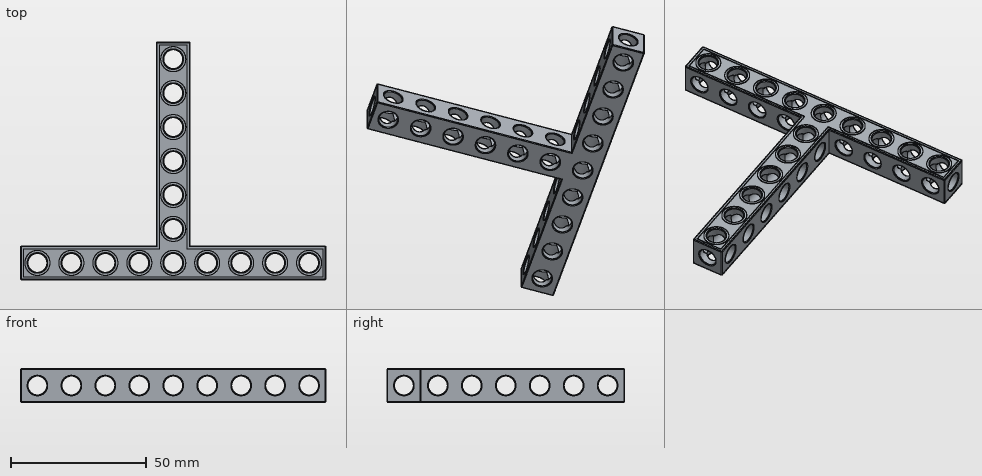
import cadquery as cq

beam_length = 112.5
holes_along_beam = 9
holes_along_stem = 6
hole_diameter = 7.0
ring_diameter = 9.2
rim_width = 1.1
recess_depth = 0.2
edge_chamfer = 0.3

pitch = beam_length / holes_along_beam
half_pitch = pitch / 2
stem_length = holes_along_stem * pitch
total_depth = pitch + stem_length

middle_column = holes_along_beam // 2
beam_columns = [half_pitch + column * pitch for column in range(holes_along_beam)]
stem_rows = [pitch + half_pitch + row * pitch for row in range(holes_along_stem)]
stem_x = beam_columns[middle_column]
upright_centers = [(x, half_pitch) for x in beam_columns] + [(stem_x, y) for y in stem_rows]


def tee_prism(inset, bottom_z, height):
    """T-shaped prism with its outline moved inwards by inset."""
    stem_left = stem_x - half_pitch + inset
    stem_right = stem_x + half_pitch - inset
    beam_back = pitch - inset
    outline = [
        (inset, inset),
        (beam_length - inset, inset),
        (beam_length - inset, beam_back),
        (stem_right, beam_back),
        (stem_right, total_depth - inset),
        (stem_left, total_depth - inset),
        (stem_left, beam_back),
        (inset, beam_back),
    ]
    return cq.Workplane("XY", origin=(0, 0, bottom_z)).polyline(outline).close().extrude(height)


def chamfered_tee():
    """T-shaped body with every outer edge chamfered; the two inner corners stay sharp."""
    tee = tee_prism(0, 0, pitch)
    around_inner_corners = cq.selectors.BoxSelector(
        (stem_x - pitch, half_pitch, 0),
        (stem_x + pitch, pitch + half_pitch, pitch),
    )
    inner_corners = tee.edges("|Z").edges(around_inner_corners).vals()
    outer_edges = [edge for edge in tee.edges().vals() if edge not in inner_corners]
    return tee.newObject(outer_edges).chamfer(edge_chamfer)


def top_recess():
    """Shallow pocket that leaves a rim along the outline and a ring around each hole."""
    floor_z = pitch - recess_depth
    rings = (
        cq.Workplane("XY", origin=(0, 0, floor_z))
        .pushPoints(upright_centers)
        .circle(ring_diameter / 2)
        .extrude(recess_depth)
    )
    return tee_prism(rim_width, floor_z, recess_depth).cut(rings)


def bore(start, direction, length):
    """Straight hole that flares into a chamfer at both ends."""
    radius = hole_diameter / 2
    mouth_radius = radius + edge_chamfer
    half_section = [
        (0, 0),
        (mouth_radius, 0),
        (radius, edge_chamfer),
        (radius, length - edge_chamfer),
        (mouth_radius, length),
        (0, length),
    ]
    cutter = cq.Workplane("XZ").polyline(half_section).close().revolve(360, (0, 0), (0, 1))
    return cutter.val().moved(cq.Plane(origin=start, normal=direction).location)


body = chamfered_tee().cut(top_recess())

for x, y in upright_centers:
    body = body.cut(bore((x, y, 0), (0, 0, 1), pitch))

for x in beam_columns:
    length = total_depth if x == stem_x else pitch
    body = body.cut(bore((x, 0, half_pitch), (0, 1, 0), length))

body = body.cut(bore((0, half_pitch, half_pitch), (1, 0, 0), beam_length))
for y in stem_rows:
    body = body.cut(bore((stem_x - half_pitch, y, half_pitch), (1, 0, 0), pitch))

result = body